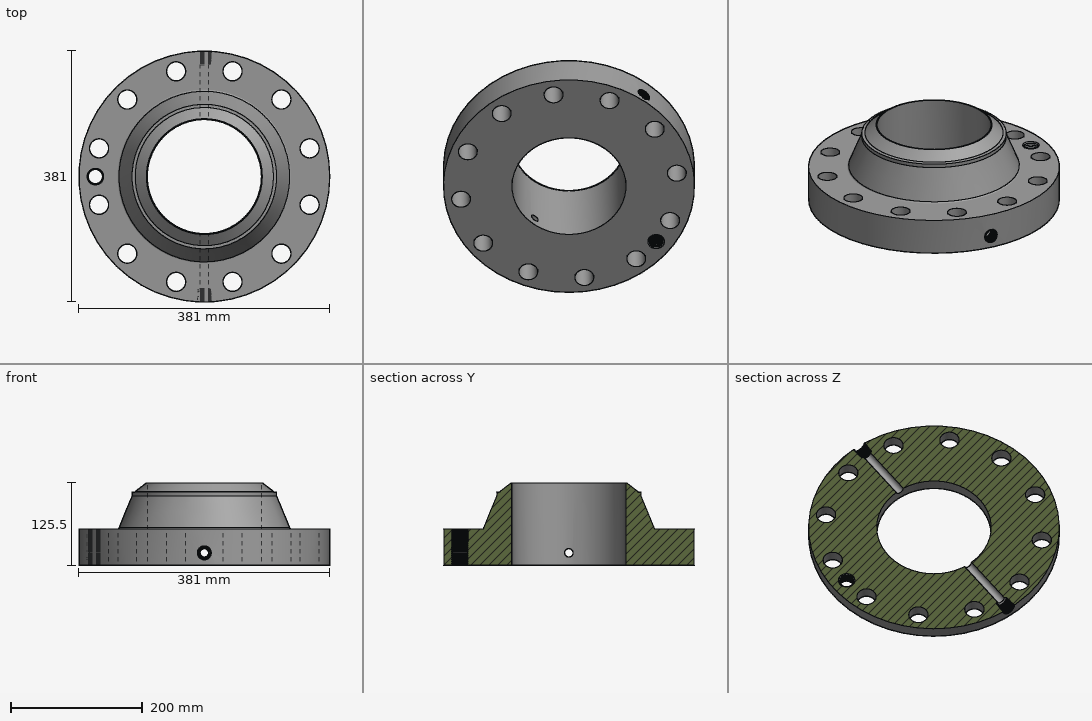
import cadquery as cq
import math

flange_radius = 190.5
flange_thickness = 55.2
total_height = 125.5

hub_base_radius = 129.5
hub_fillet_width = 2.3
hub_fillet_height = 2.3
neck_radius = 109.7
neck_bottom = 105.5
neck_top = 111.3

bore_radius = 86.5
root_face_width = 1.5
bevel_angle = 37.5
bevel_foot_height = 1.0
bevel_foot_width = 1.0

bolt_count = 12
bolt_circle_radius = 165.5
bolt_hole_radius = 14.3

jack_root_radius = 12.5
jack_crest_radius = 10.5
jack_pitch = 3.0

tap_height = 19.0
tap_root_radius = 10.5
tap_pitch = 2.0
tap_turns = 10
tap_thread_height = 1.35
tap_end_root_radius = 9.5
tap_bore_radius = 6.3
tap_point_angle = 118.0


def make_body():
    """Revolve the outline of flange, hub, neck and weld bevel about Z."""
    root_face_radius = bore_radius + root_face_width
    bevel_bottom = neck_top + bevel_foot_height
    bevel_width = (total_height - bevel_bottom) / math.tan(math.radians(bevel_angle))
    bevel_radius = root_face_radius + bevel_width
    hub_bottom = flange_thickness + hub_fillet_height
    return (
        cq.Workplane("XZ")
        .moveTo(bore_radius, 0)
        .lineTo(flange_radius, 0)
        .lineTo(flange_radius, flange_thickness)
        .lineTo(hub_base_radius + hub_fillet_width, flange_thickness)
        .tangentArcPoint((hub_base_radius, hub_bottom), relative=False)
        .lineTo(neck_radius, neck_bottom)
        .lineTo(neck_radius, neck_top)
        .lineTo(bevel_radius + bevel_foot_width, neck_top)
        .tangentArcPoint((bevel_radius, bevel_bottom), relative=False)
        .lineTo(root_face_radius, total_height)
        .lineTo(bore_radius, total_height)
        .close()
        .revolve(360, (0, 0, 0), (0, 1, 0))
    )


def make_bolt_holes():
    """Evenly spaced bolt holes that straddle the X and Y axes."""
    return (
        cq.Workplane("XY")
        .polarArray(bolt_circle_radius, 180 / bolt_count, 360, bolt_count)
        .circle(bolt_hole_radius)
        .extrude(flange_thickness)
    )


def make_thread(length, turns, start_root, end_root, thread_height):
    """Threaded hole along +Z from the origin, each turn a ring with a V section."""
    pitch = length / turns
    root_step = (end_root - start_root) / turns
    outline = [(0, 0), (start_root, 0)]
    for turn in range(turns):
        next_root = start_root + (turn + 1) * root_step
        crest = next_root - root_step / 2 - thread_height
        outline.append((crest, (turn + 0.5) * pitch))
        outline.append((next_root, (turn + 1) * pitch))
    outline.append((0, length))
    return cq.Workplane("XZ").polyline(outline).close().revolve(360, (0, 0, 0), (0, 1, 0))


def make_jackscrew_hole():
    """Threaded hole through the plate on the -X side."""
    turns = round(flange_thickness / jack_pitch)
    thread_height = jack_root_radius - jack_crest_radius
    thread = make_thread(flange_thickness, turns, jack_root_radius, jack_root_radius, thread_height)
    return thread.translate((-bolt_circle_radius, 0, 0))


def make_tap():
    """Tap entering at -Y: a tapered thread with a conical end, then a plain drilling into the bore."""
    thread_length = tap_turns * tap_pitch
    thread = make_thread(thread_length, tap_turns, tap_root_radius, tap_end_root_radius, tap_thread_height)
    cone_height = (tap_end_root_radius - tap_bore_radius) / math.tan(math.radians(tap_point_angle / 2))
    cone = cq.Workplane(
        cq.Solid.makeCone(tap_end_root_radius, tap_bore_radius, cone_height, pnt=(0, 0, thread_length))
    )
    drilling = cq.Workplane("XY").circle(tap_bore_radius).extrude(flange_radius)
    along_z = thread.union(cone).union(drilling)
    return along_z.rotate((0, 0, 0), (1, 0, 0), -90).translate((0, -flange_radius, tap_height))


tap = make_tap()
opposite_tap = tap.rotate((0, 0, 0), (0, 0, 1), 180)
result = (
    make_body()
    .cut(make_bolt_holes())
    .cut(make_jackscrew_hole())
    .cut(tap)
    .cut(opposite_tap)
)